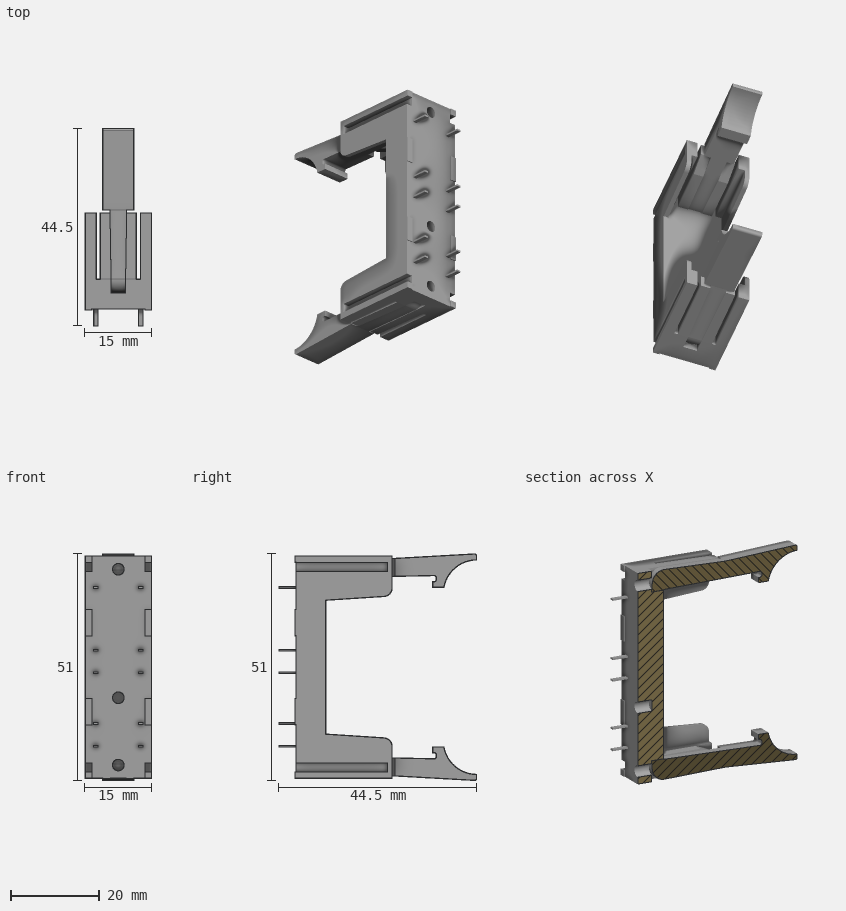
import cadquery as cq
import math

WIDTH = 15.0
HALF_WIDTH = WIDTH / 2
HALF_HEIGHT = 25.05
BASE_DEPTH = 6.75
ARM_REACH = 21.7
OPENING_HALF = 15.05
ARM_DRAFT = 3.7
ARM_ROUND = 2.0

WALL = 1.05
RAIL_HALF_GAP = 4.95
LEDGE_Z = 20.15

GROOVE_REACH = 20.6
GROOVE_INNER_Z = 21.5
GROOVE_OUTER_Z = 23.55
SIDE_DEPTH = 1.55
FOOT_HEIGHT = 0.25
MIDDLE_FOOT_INNER_Z = 7.05
MIDDLE_FOOT_OUTER_Z = 13.0

TONGUE_HALF_WIDTH = 4.1
TONGUE_DROP = 0.3
TONGUE_TIP_INNER_Z = 21.5
TONGUE_ROOT_INNER_Z = 19.85
TONGUE_RAMP_Y = 16.95

PIN_WIDTH = 1.0
PIN_THICKNESS = 0.4
PIN_LENGTH = 3.8
PIN_HALF_SPACING = 5.05
PIN_HEIGHTS = [17.9, 3.8, -1.3, -12.7, -17.8]
HOLE_DIAMETER = 2.6
ARM_HOLE_Z = 22.05
MIDDLE_HOLE_Z = -6.9

OVERALL_HALF_HEIGHT = 25.5
LEVER_END_Y = 3.65
LEVER_TIP_Y = 40.7
SHOULDER_Y = 22.3
HEAD_HALF_WIDTH = 3.5
NECK_HALF_WIDTH = 1.9
HEEL_HALF_WIDTH = 1.65
HEAD_SLOPE = math.radians(3.2)
TIP_ROUND = 0.5
TIP_INNER_Z = 24.1
FINGER_RADIUS = 7.5
HOOK_TIP_Z = 17.95
HOOK_FRONT_Y = 30.75
HOOK_UNDERCUT_Y = 31.55
HOOK_LIP_Z = 19.3
HOOK_ROUND = 0.4
LEVER_INNER_Z = 20.6
HEEL_INNER_Z = 20.1
HEEL_RADIUS = 3.1
HEEL_ROUND_Z = 21.85


def block(x_range, y_range, z_range):
    """Box between two limits on each axis."""
    size = [high - low for low, high in (x_range, y_range, z_range)]
    corner = (x_range[0], y_range[0], z_range[0])
    return cq.Workplane("XY").box(*size, centered=False).translate(corner)


def side_prism(outline, half_width):
    """Extrude a closed Y-Z outline equally to both sides of X = 0."""
    return outline.extrude(half_width, both=True)


def with_mirror(shape, plane):
    return shape.union(shape.mirror(plane))


def lever_plan():
    """Upright prism of the lever's plan: wide head, tapered neck and parallel heel."""
    right_side = [
        (HEEL_HALF_WIDTH, LEVER_END_Y),
        (HEEL_HALF_WIDTH, BASE_DEPTH),
        (NECK_HALF_WIDTH, SHOULDER_Y),
        (HEAD_HALF_WIDTH, SHOULDER_Y),
        (HEAD_HALF_WIDTH, LEVER_TIP_Y),
    ]
    left_side = [(-x, y) for x, y in reversed(right_side)]
    return cq.Workplane("XY").polyline(right_side + left_side).close().extrude(OVERALL_HALF_HEIGHT)


def make_c_frame():
    arm_tip_inner_z = OPENING_HALF + (ARM_REACH - BASE_DEPTH) * math.tan(math.radians(ARM_DRAFT))
    upper = [
        (0, HALF_HEIGHT),
        (ARM_REACH, HALF_HEIGHT),
        (ARM_REACH, arm_tip_inner_z),
        (BASE_DEPTH, OPENING_HALF),
    ]
    lower = [(y, -z) for y, z in reversed(upper)]
    frame = side_prism(cq.Workplane("YZ").polyline(upper + lower).close(), HALF_WIDTH)
    inner_tip_edges = cq.selectors.BoxSelector(
        (-WIDTH, ARM_REACH - ARM_ROUND, -arm_tip_inner_z - ARM_ROUND),
        (WIDTH, ARM_REACH + ARM_ROUND, arm_tip_inner_z + ARM_ROUND),
    )
    return frame.edges(inner_tip_edges).edges("|X").fillet(ARM_ROUND)


def make_channel():
    """Space between the side walls: full height between the rails, wider between the ledges."""
    channel_y = (BASE_DEPTH, ARM_REACH)
    wide_half = HALF_WIDTH - WALL
    between_rails = block((-RAIL_HALF_GAP, RAIL_HALF_GAP), channel_y, (-HALF_HEIGHT, HALF_HEIGHT))
    between_ledges = block((-wide_half, wide_half), channel_y, (-LEDGE_Z, LEDGE_Z))
    return between_rails.union(between_ledges)


def make_tongue():
    """Block with a ramped tip on the upper arm, before the lever slot splits it in two."""
    outline = [
        (0, HALF_HEIGHT),
        (BASE_DEPTH, HALF_HEIGHT),
        (ARM_REACH, HALF_HEIGHT - TONGUE_DROP),
        (ARM_REACH, TONGUE_TIP_INNER_Z),
        (TONGUE_RAMP_Y, TONGUE_ROOT_INNER_Z),
        (0, TONGUE_ROOT_INNER_Z),
    ]
    return side_prism(cq.Workplane("YZ").polyline(outline).close(), TONGUE_HALF_WIDTH)


def make_lever_slot():
    """Slot for the upper lever: a pocket in the base, open right through between the tongues."""
    room = block((-WIDTH, WIDTH), (0, BASE_DEPTH), (HEEL_INNER_Z, OVERALL_HALF_HEIGHT))
    room = room.union(block((-WIDTH, WIDTH), (BASE_DEPTH, ARM_REACH), (0, OVERALL_HALF_HEIGHT)))
    return lever_plan().intersect(room)


def make_housing():
    housing = make_c_frame().cut(make_channel())
    housing = housing.union(with_mirror(make_tongue(), "XY"))
    housing = housing.cut(with_mirror(make_lever_slot(), "XY"))

    side_x = (HALF_WIDTH - SIDE_DEPTH, HALF_WIDTH)
    groove = block(side_x, (0, GROOVE_REACH), (GROOVE_INNER_Z, GROOVE_OUTER_Z))
    housing = housing.cut(with_mirror(with_mirror(groove, "YZ"), "XY"))

    foot_spans = [(GROOVE_OUTER_Z, HALF_HEIGHT), (MIDDLE_FOOT_INNER_Z, MIDDLE_FOOT_OUTER_Z)]
    for span in foot_spans:
        foot = block(side_x, (-FOOT_HEIGHT, 0), span)
        housing = housing.union(with_mirror(with_mirror(foot, "YZ"), "XY"))

    hole_points = [(0, z) for z in (ARM_HOLE_Z, MIDDLE_HOLE_Z, -ARM_HOLE_Z)]
    holes = cq.Workplane("XZ").pushPoints(hole_points).circle(HOLE_DIAMETER / 2).extrude(-LEVER_END_Y)
    housing = housing.cut(holes)

    pin_points = [(x, z) for x in (-PIN_HALF_SPACING, PIN_HALF_SPACING) for z in PIN_HEIGHTS]
    pins = cq.Workplane("XZ").pushPoints(pin_points).rect(PIN_WIDTH, PIN_THICKNESS).extrude(PIN_LENGTH)
    return housing.union(pins)


def make_upper_lever():
    round_y = LEVER_TIP_Y - TIP_ROUND
    round_z = OVERALL_HALF_HEIGHT - TIP_ROUND
    slope_end_y = round_y - TIP_ROUND * math.sin(HEAD_SLOPE)
    slope_end_z = round_z + TIP_ROUND * math.cos(HEAD_SLOPE)
    shoulder_z = slope_end_z - (slope_end_y - SHOULDER_Y) * math.tan(HEAD_SLOPE)
    diagonal = math.sqrt(0.5)

    finger_z = TIP_INNER_Z - FINGER_RADIUS
    hook_angle = math.asin((HOOK_TIP_Z - finger_z) / FINGER_RADIUS)
    hook_back_y = LEVER_TIP_Y - FINGER_RADIUS * math.cos(hook_angle)
    middle_angle = (hook_angle + math.pi / 2) / 2
    finger_middle = (
        LEVER_TIP_Y - FINGER_RADIUS * math.cos(middle_angle),
        finger_z + FINGER_RADIUS * math.sin(middle_angle),
    )

    heel_y = LEVER_END_Y + HEEL_RADIUS
    heel_middle = (heel_y - HEEL_RADIUS * diagonal, HEEL_ROUND_Z + HEEL_RADIUS * diagonal)

    outline = (
        cq.Workplane("YZ")
        .moveTo(LEVER_END_Y, HEEL_INNER_Z)
        .lineTo(LEVER_END_Y, HEEL_ROUND_Z)
        .threePointArc(heel_middle, (heel_y, HEEL_ROUND_Z + HEEL_RADIUS))
        .lineTo(SHOULDER_Y, shoulder_z)
        .lineTo(slope_end_y, slope_end_z)
        .threePointArc(
            (round_y + TIP_ROUND * diagonal, round_z + TIP_ROUND * diagonal),
            (LEVER_TIP_Y, round_z),
        )
        .lineTo(LEVER_TIP_Y, TIP_INNER_Z)
        .threePointArc(finger_middle, (hook_back_y, HOOK_TIP_Z))
        .lineTo(HOOK_FRONT_Y, HOOK_TIP_Z)
        .lineTo(HOOK_FRONT_Y, HOOK_LIP_Z)
        .lineTo(HOOK_UNDERCUT_Y, HOOK_LIP_Z)
        .lineTo(HOOK_UNDERCUT_Y, LEVER_INNER_Z)
        .lineTo(BASE_DEPTH, HEEL_INNER_Z)
        .close()
    )
    lever = side_prism(outline, HEAD_HALF_WIDTH)
    undercut_corners = cq.selectors.BoxSelector(
        (-WIDTH, HOOK_UNDERCUT_Y - HOOK_ROUND, HOOK_LIP_Z - HOOK_ROUND),
        (WIDTH, HOOK_UNDERCUT_Y + HOOK_ROUND, LEVER_INNER_Z + HOOK_ROUND),
    )
    lever = lever.edges(undercut_corners).edges("|X").fillet(HOOK_ROUND)
    return lever.intersect(lever_plan())


housing = make_housing()
upper_lever = make_upper_lever()
levers = [upper_lever, upper_lever.mirror("XY")]

result = cq.Compound.makeCompound([housing.val(), *[lever.val() for lever in levers]])